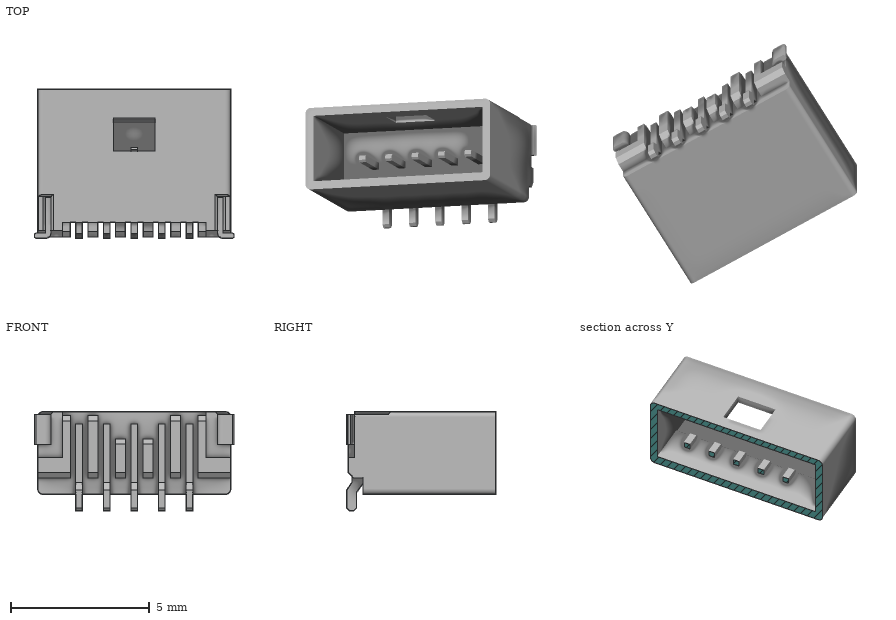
import cadquery as cq


body_width = 6.995
body_height = 3.0
body_depth = 4.82
half_width = body_width / 2
edge_radius = 0.195
wall = 0.3
back_wall = 1.0
floor_step = 0.08
floor_step_y = 3.63

window_width = 1.51
window_depth = 1.2
window_front_y = 3.78

contact_pitch = 1.0
short_rib_x = contact_pitch / 2
tall_rib_x = short_rib_x + contact_pitch
corner_rib_x = tall_rib_x + contact_pitch
rib_width = 0.36
rib_depth = 0.535
rib_chamfer = 0.195
rib_bottom = 0.6
tall_rib_top = 2.85
short_rib_top = 2.01
shoulder_depth = 0.3
shoulder_bottom = 1.34
shoulder_inner_x = 2.59

contact_count = 5
contact_width = 0.245
strap_depth = 0.4
strap_top = 2.55
strap_bottom = 0.435
tail_back_y = -0.59
tail_thickness = 0.36
tail_bottom = -0.6
tail_chamfer = 0.11
bend_drop = 0.28
bend_inner_top = 0.38
bend_inner_drop = 0.305
blade_tip_y = 2.71
blade_bottom = 1.3
blade_bevel = 0.08

overall_width = 7.24
nail_thickness = 0.2
nail_inner_x = 3.02
nail_outer_x = nail_inner_x + nail_thickness
nail_bottom = 1.8
nail_top = 2.895
nail_front_y = 0.9
nail_end_chamfer = 0.06

recess_depth = 0.09
recess_floor_front_y = 0.93
groove_outer_x = half_width - edge_radius


def box(x_min, x_max, y_min, y_max, z_min, z_max):
    size = (x_max - x_min, y_max - y_min, z_max - z_min)
    return cq.Workplane("XY").box(*size, centered=False).translate((x_min, y_min, z_min))


def side_profile(points, x_min, x_max):
    """Extrude an outline of (y, z) points along X."""
    return cq.Workplane("YZ").workplane(offset=x_min).polyline(points).close().extrude(x_max - x_min)


def end_profile(points, y_min, y_max):
    """Extrude an outline of (x, z) points along Y."""
    return cq.Workplane("XZ", origin=(0, y_max, 0)).polyline(points).close().extrude(y_max - y_min)


def both_sides(part):
    return part.union(part.mirror("YZ"))


def rib(x_min, x_max, top):
    """Upright rib on the rear face with chamfered rear edges above and below."""
    block = box(x_min, x_max, -rib_depth, 0, rib_bottom, top)
    return block.faces("<Y").edges("|X").chamfer(rib_chamfer)


def housing():
    block = box(-half_width, half_width, -shoulder_depth, body_depth, 0, body_height)
    block = block.edges("|Y").fillet(edge_radius)
    clearance = box(-half_width, half_width, -shoulder_depth, 0, 0, shoulder_bottom)
    middle = box(-shoulder_inner_x, shoulder_inner_x, -shoulder_depth, 0, 0, body_height)
    return block.cut(clearance).cut(middle)


def corner_block():
    """Low rear block and the outermost rib, which meet in one L shape."""
    inner_x = corner_rib_x - rib_width / 2
    upright = rib(inner_x, half_width, tall_rib_top)
    above_block = box(shoulder_inner_x, half_width, -rib_depth, 0, shoulder_bottom, body_height)
    return upright.cut(above_block)


def cavity():
    """Mating cavity whose floor drops over a bevel toward the mouth."""
    rear_floor = wall + floor_step
    outline = [
        (back_wall, rear_floor),
        (floor_step_y, rear_floor),
        (floor_step_y + floor_step, wall),
        (body_depth, wall),
        (body_depth, body_height - wall),
        (back_wall, body_height - wall),
    ]
    return side_profile(outline, wall - half_width, half_width - wall)


def window():
    return box(
        -window_width / 2, window_width / 2,
        window_front_y - window_depth, window_front_y,
        body_height - wall, body_height,
    )


def contact(x):
    """Strap on the rear face, cranked solder tail and blade inside the cavity."""
    x_min = x - contact_width / 2
    x_max = x + contact_width / 2
    tail_front_y = tail_back_y + tail_thickness
    outline = [
        (0, strap_top),
        (-strap_depth, strap_top),
        (-strap_depth, strap_bottom),
        (tail_back_y, strap_bottom - bend_drop),
        (tail_back_y, tail_bottom),
        (tail_front_y, tail_bottom),
        (tail_front_y, bend_inner_top - bend_inner_drop),
        (0, bend_inner_top),
    ]
    strap = side_profile(outline, x_min, x_max)
    strap = strap.faces("<Z").edges("|X").chamfer(tail_chamfer)
    blade = box(x_min, x_max, 0, blade_tip_y, blade_bottom, blade_bottom + contact_width)
    blade = blade.faces(">Y").edges("|X").chamfer(blade_bevel)
    return strap.union(blade)


def nail_recess():
    """Recess open to the side, with sloped walls and a sloped groove beside the nail."""
    floor_z = body_height - recess_depth
    groove_z = floor_z - recess_depth
    top_inner_x = nail_inner_x - recess_depth
    top_front_y = recess_floor_front_y + recess_depth

    across = [
        (nail_inner_x, floor_z),
        (top_inner_x, body_height),
        (half_width, body_height),
        (half_width, floor_z),
    ]
    along = [
        (-shoulder_depth, floor_z),
        (recess_floor_front_y, floor_z),
        (top_front_y, body_height),
        (-shoulder_depth, body_height),
    ]
    recess = end_profile(across, -shoulder_depth, top_front_y)
    recess = recess.intersect(side_profile(along, top_inner_x, half_width))

    groove = [
        (nail_inner_x, groove_z),
        (nail_inner_x, floor_z),
        (groove_outer_x, floor_z),
        (nail_outer_x, groove_z),
    ]
    return recess.union(end_profile(groove, -shoulder_depth, recess_floor_front_y))


def nail():
    """L-shaped plate: a leg sunk into the housing and a foot turned outward."""
    outer_end = overall_width / 2
    foot_front_y = tail_back_y + nail_thickness
    height = nail_top - nail_bottom
    leg = box(nail_inner_x, nail_outer_x, tail_back_y, nail_front_y, nail_bottom, nail_top)
    foot = box(nail_inner_x, outer_end, tail_back_y, foot_front_y, nail_bottom, nail_top)
    foot = foot.faces(">X").edges("|Z").chamfer(nail_end_chamfer)
    bend_corner = cq.selectors.NearestToPointSelector(
        (nail_inner_x, tail_back_y, nail_bottom + height / 2)
    )
    return leg.union(foot).edges(bend_corner).fillet(nail_thickness)


result = housing().union(both_sides(corner_block())).cut(cavity()).cut(window())
result = result.cut(both_sides(nail_recess())).union(both_sides(nail()))

for centre, top in ((short_rib_x, short_rib_top), (tall_rib_x, tall_rib_top)):
    result = result.union(both_sides(rib(centre - rib_width / 2, centre + rib_width / 2, top)))

for index in range(contact_count):
    offset = index - (contact_count - 1) / 2
    result = result.union(contact(contact_pitch * offset))